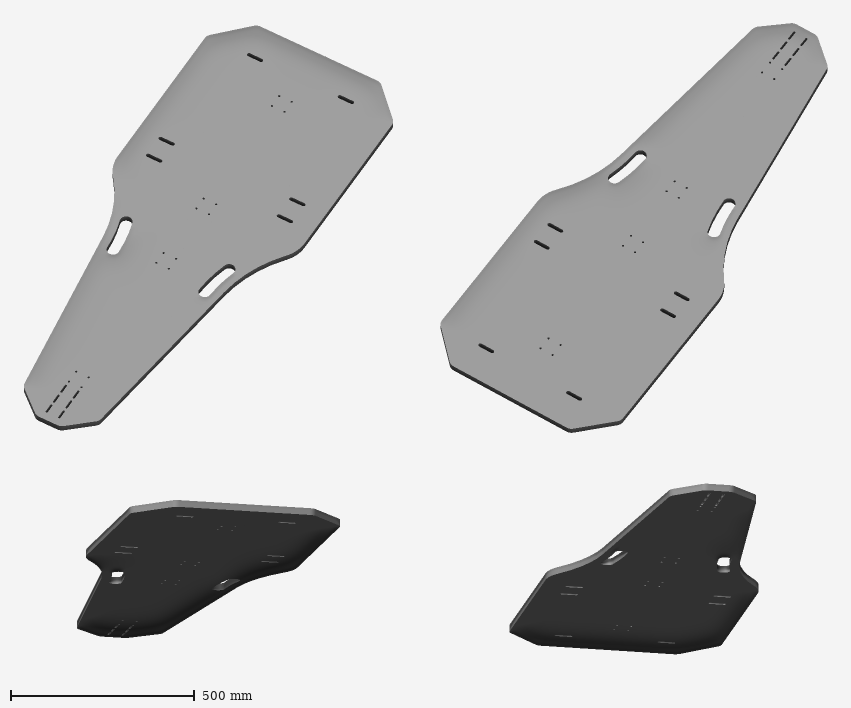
import cadquery as cq

length = 1462.0
width = 590.0
thickness = 19.0
half_length = length / 2
half_width = width / 2

rear_chamfer = 101.0
shoulder_y = 114.0
waist_half_width = 205.0
waist_y = 0.0
neck_half_width = 120.0
neck_y = -660.0
tip_half_width = 38.0

corner_radius = 25.0
shoulder_radius = 100.0
waist_radius = 387.0

bolt_diameter = 6.1
bolt_spacing = 40.0
bolt_group_ys = (530.0, 123.0, -94.0, -565.0)

tip_slot_length = 30.0
tip_slot_count = 3
first_tip_slot_y = -614.0

strap_slot_length = 50.0
strap_slot_width = 11.0
strap_slot_places = ((143.0, 631.0), (206.0, 262.0), (206.0, 195.0))

hand_slot_width = 35.0
hand_slot_rear = (162.0, -32.0)
hand_slot_front = (145.0, -133.0)
hand_slot_edge_gap = 26.0
hand_slot_bend_radius = waist_radius + hand_slot_edge_gap + hand_slot_width / 2


def both_sides(places):
    """Repeat each (x, y) place on the -X and +X sides."""
    return [(side * x, y) for x, y in places for side in (-1, 1)]


def round_corners(body, corners, radius):
    """Fillet the upright edges at the given outline corners on both sides."""
    for x, y in both_sides(corners):
        edge = cq.selectors.NearestToPointSelector((x, y, thickness / 2))
        body = body.edges("|Z").edges(edge).fillet(radius)
    return body


def plate():
    rear = (half_width - rear_chamfer, half_length)
    side = (half_width, half_length - rear_chamfer)
    shoulder = (half_width, shoulder_y)
    waist = (waist_half_width, waist_y)
    neck = (neck_half_width, neck_y)
    tip = (tip_half_width, -half_length)

    right_side = [rear, side, shoulder, waist, neck, tip]
    left_side = [(-x, y) for x, y in reversed(right_side)]
    body = cq.Workplane("XY").polyline(right_side + left_side).close().extrude(thickness)

    body = round_corners(body, [rear, side, neck, tip], corner_radius)
    body = round_corners(body, [shoulder], shoulder_radius)
    return round_corners(body, [waist], waist_radius)


def bolt_holes():
    half = bolt_spacing / 2
    places = [(half, y + end * half) for y in bolt_group_ys for end in (-1, 1)]
    return (
        cq.Workplane("XY")
        .pushPoints(both_sides(places))
        .circle(bolt_diameter / 2)
        .extrude(thickness)
    )


def tip_slots():
    places = [(bolt_spacing / 2, first_tip_slot_y - i * bolt_spacing) for i in range(tip_slot_count)]
    return (
        cq.Workplane("XY")
        .pushPoints(both_sides(places))
        .slot2D(tip_slot_length, bolt_diameter, 90)
        .extrude(thickness)
    )


def strap_slots():
    return (
        cq.Workplane("XY")
        .pushPoints(both_sides(strap_slot_places))
        .slot2D(strap_slot_length, strap_slot_width)
        .extrude(thickness)
    )


def hand_slots():
    right_slot = (
        cq.Workplane("XY")
        .moveTo(*hand_slot_rear)
        .radiusArc(hand_slot_front, -hand_slot_bend_radius)
        .wire()
        .offset2D(hand_slot_width / 2)
        .extrude(thickness)
    )
    return right_slot.union(right_slot.mirror("YZ"))


result = plate().cut(bolt_holes()).cut(tip_slots()).cut(strap_slots()).cut(hand_slots())